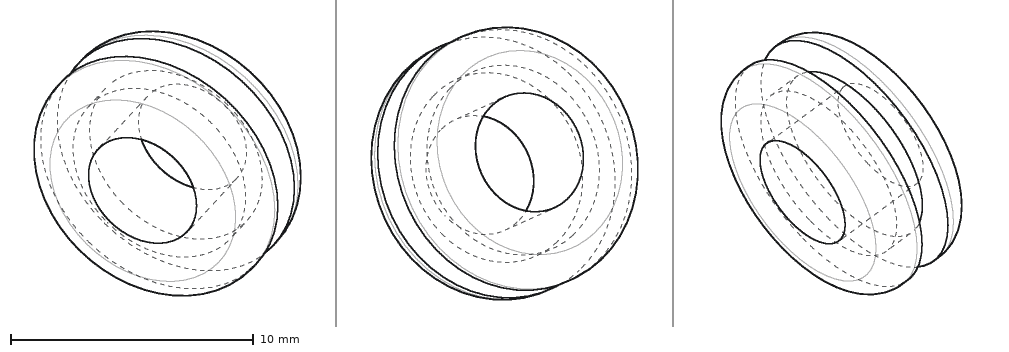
import cadquery as cq

outer_diameter = 11.0
bore_diameter = 5.0
neck_diameter = 8.0
total_length = 4.5
flange_thickness = total_length / 3
rim_radius = 1.2


def cylinder_along_y(diameter, length, start_y):
    """Solid cylinder running from start_y towards +Y."""
    return cq.Workplane("XZ", origin=(0, start_y, 0)).circle(diameter / 2).extrude(-length)


def flange(start_y, outer_face):
    """Flange disc with its outward-facing rim rounded."""
    disc = cylinder_along_y(outer_diameter, flange_thickness, start_y)
    return disc.faces(outer_face).edges().fillet(rim_radius)


half_length = total_length / 2
front_flange = flange(-half_length, "<Y")
rear_flange = flange(half_length - flange_thickness, ">Y")
neck = cylinder_along_y(neck_diameter, total_length, -half_length)
bore = cylinder_along_y(bore_diameter, total_length, -half_length)

result = neck.union(front_flange).union(rear_flange).cut(bore)